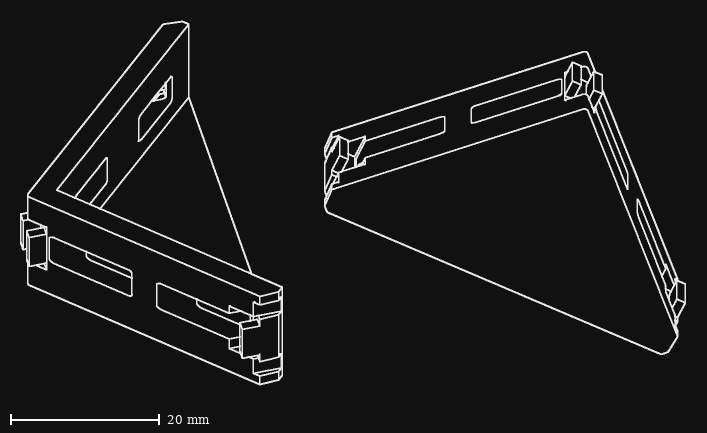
import cadquery as cq
import math

overall = 39.83

hook_length = 2.43
hook_thickness = 1.27
hook_height = 5.75
hook_reach = hook_length * math.sqrt(2)
hook_span = hook_thickness * math.sqrt(2)
hook_overhang = hook_reach / 2

leg_length = overall - hook_overhang
height = 17.5
wall = 3.0
floor_thickness = wall
corner_radius = 0.5
end_chamfer = 1.75
end_chamfer_depth = 2.0
chamfer_start = leg_length - end_chamfer

relief_height = 8.4
corner_relief = 3.15
end_notch = 4.78
end_step = 2.75
end_step_height = 14.1
cut_margin = 0.4

gusset_leg = 2.8

slot_height = 5.1
slot_radius = 0.5
slot_rise = 0.25
slot_throat = 8.85
slot_ramps = ((3.6, 7.6), (20.27, 24.8))


def centred_prism(points, prism_height):
    """Upright prism, symmetric about z = 0."""
    return cq.Workplane("XY").polyline(points).close().extrude(prism_height / 2, both=True)


def on_other_leg(body):
    """The same feature on the leg along Y (x and y swapped)."""
    return body.rotate((0, 0, 0), (0, 0, 1), 90).mirror("YZ")


def diagonal_point(total, difference):
    """Point with the given x + y and x - y."""
    return ((total + difference) / 2, (total - difference) / 2)


def bracket_body():
    """L-shaped wall with chamfered ends, a triangular floor and a corner gusset."""
    leg = centred_prism(
        [
            (0, 0),
            (chamfer_start, 0),
            (leg_length, end_chamfer_depth),
            (leg_length, wall),
            (0, wall),
        ],
        height,
    )
    outer_corner = cq.selectors.NearestToPointSelector((0, 0, 0))
    walls = leg.union(on_other_leg(leg)).edges(outer_corner).fillet(corner_radius)
    floor = (
        cq.Workplane("XY", origin=(0, 0, -height / 2))
        .polyline([(wall, wall), (leg_length, wall), (wall, leg_length)])
        .close()
        .extrude(floor_thickness)
    )
    gusset_end = wall + gusset_leg
    gusset = centred_prism([(wall, wall), (gusset_end, wall), (wall, gusset_end)], relief_height)
    return walls.union(floor).union(gusset)


def corner_cut():
    """Diagonal relief across the outer corner."""
    reach = corner_relief + cut_margin
    return centred_prism(
        [(reach, -cut_margin), (-cut_margin, reach), (-cut_margin, -cut_margin)],
        relief_height,
    )


def notch_cut():
    """V notch in the outer face, next to the end chamfer."""
    notch_start = chamfer_start - end_notch
    return centred_prism(
        [
            (notch_start, 0),
            (notch_start, -cut_margin),
            (chamfer_start, -cut_margin),
            (chamfer_start, 0),
            diagonal_point(chamfer_start, notch_start),
        ],
        relief_height,
    )


def step_cut():
    """Deeper end chamfer in two bands, above and below the relief height."""
    outline = [
        (leg_length - end_step - cut_margin, -cut_margin),
        (leg_length + cut_margin, -cut_margin),
        (leg_length + cut_margin, end_step + cut_margin),
    ]
    return centred_prism(outline, end_step_height).cut(centred_prism(outline, relief_height))


def slot_cut(outer_start, inner_start):
    """Slot through the leg; its near end is a ramp, its far end is square."""
    slot_end = inner_start + slot_throat
    profile = [(outer_start, 0), (slot_end, 0), (slot_end, wall), (inner_start, wall)]
    blank = centred_prism(profile, slot_height)
    rounded = blank.faces("|Z").edges("not(|X)").fillet(slot_radius)
    return rounded.translate((0, 0, slot_rise))


def hook(root):
    """Finger pointing along (-1, -1) from the line x + y = root; its +X side is x - y = root."""
    near_side = root - hook_span
    tip = root - hook_reach
    return centred_prism(
        [
            diagonal_point(root, near_side),
            diagonal_point(root, root),
            diagonal_point(tip, root),
            diagonal_point(tip, near_side),
        ],
        hook_height,
    )


leg_cuts = notch_cut().union(step_cut())
for ramp_outer, ramp_inner in slot_ramps:
    leg_cuts = leg_cuts.union(slot_cut(ramp_outer, ramp_inner))
leg_hooks = hook(corner_relief).union(hook(chamfer_start))

result = bracket_body().cut(corner_cut())
result = result.cut(leg_cuts).cut(on_other_leg(leg_cuts))
result = result.union(leg_hooks).union(on_other_leg(leg_hooks))